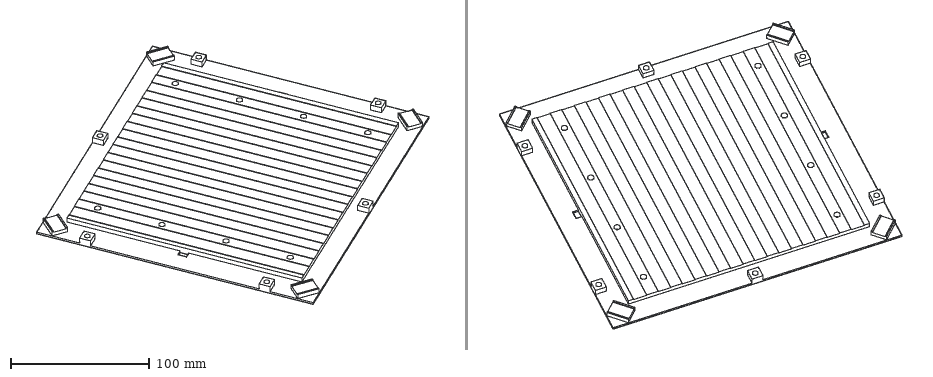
import cadquery as cq

plate_x = 215.3
plate_y = 226.2
plate_height = 1.7

bed_x = 183.0
bed_y = 188.9
groove_height = 5.0
ridge_height = 5.5
ridge_width = 9.0
end_ridge_width = 4.0
pitch_count = 10
ridge_pitch = bed_y / pitch_count

bed_hole_diameter = 4.5
bed_hole_spacing = 50.0
bed_hole_columns = 4
bed_hole_y = 75.8

boss_side = 8.5
boss_height = 6.3
boss_hole_diameter = 4.0
boss_offset_x = 70.0

channel_length = 16.7
channel_width = 12.2
channel_wall = 1.1
channel_floor_height = 4.8
channel_wall_height = 5.5
channel_inset = 10.5
channel_angle = 45

slot_width = 6.5
slot_end_y = 98.8


def standing_box(size_x, size_y, height, x=0, y=0):
    """Box centred on (x, y), standing on the bottom plane."""
    return cq.Workplane("XY").center(x, y).rect(size_x, size_y).extrude(height)


def through_holes(points, diameter):
    return cq.Workplane("XY").pushPoints(points).circle(diameter / 2).extrude(boss_height)


def ridged_bed():
    bed = standing_box(bed_x, bed_y, groove_height)
    for index in range(1, pitch_count):
        ridge_y = -bed_y / 2 + index * ridge_pitch
        bed = bed.union(standing_box(bed_x, ridge_width, ridge_height, y=ridge_y))
    end_ridge_y = (bed_y - end_ridge_width) / 2
    for side in (-1, 1):
        bed = bed.union(standing_box(bed_x, end_ridge_width, ridge_height, y=side * end_ridge_y))
    return bed


def corner_channel(side_x, side_y):
    """Open-ended channel lying across one corner of the plate."""
    channel = standing_box(channel_length, channel_width, channel_floor_height)
    wall_y = (channel_width - channel_wall) / 2
    for side in (-1, 1):
        wall = standing_box(channel_length, channel_wall, channel_wall_height, y=side * wall_y)
        channel = channel.union(wall)
    channel = channel.rotate((0, 0, 0), (0, 0, 1), -channel_angle * side_x * side_y)
    x = side_x * (plate_x / 2 - channel_inset)
    y = side_y * (plate_y / 2 - channel_inset)
    return channel.translate((x, y, 0))


result = standing_box(plate_x, plate_y, plate_height).union(ridged_bed())

boss_x = (plate_x - boss_side) / 2
boss_y = (plate_y - boss_side) / 2
boss_points = []
for side in (-1, 1):
    boss_points.append((side * boss_x, 0))
    boss_points.append((-boss_offset_x, side * boss_y))
    boss_points.append((boss_offset_x, side * boss_y))
for x, y in boss_points:
    result = result.union(standing_box(boss_side, boss_side, boss_height, x, y))
result = result.cut(through_holes(boss_points, boss_hole_diameter))

for side_x in (-1, 1):
    for side_y in (-1, 1):
        result = result.union(corner_channel(side_x, side_y))

bed_hole_points = []
for column in range(bed_hole_columns):
    x = (column - (bed_hole_columns - 1) / 2) * bed_hole_spacing
    bed_hole_points += [(x, -bed_hole_y), (x, bed_hole_y)]
result = result.cut(through_holes(bed_hole_points, bed_hole_diameter))

slot_length = slot_end_y - bed_y / 2
slot_y = slot_end_y - slot_length / 2
for side in (-1, 1):
    result = result.cut(standing_box(slot_width, slot_length, plate_height, y=side * slot_y))